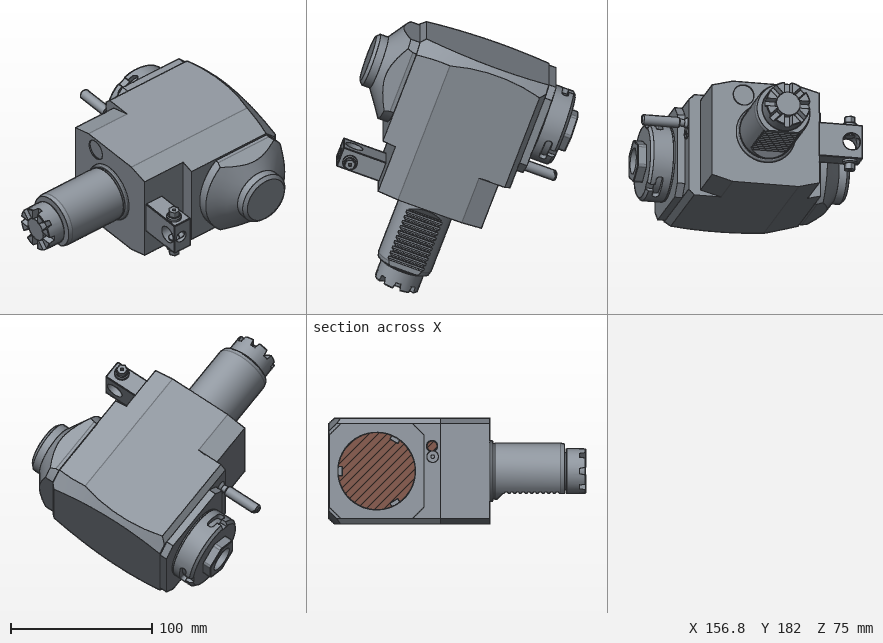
import cadquery as cq
import math


HEIGHT = 75.0
HALF_HEIGHT = HEIGHT / 2
HEAD_LEFT = -47.5
HEAD_RIGHT = 48.5
HEAD_FRONT = 35.0
HEAD_BACK = 114.0
BASE_HALF_WIDTH = 39.0
BEVEL_SLOPE = math.tan(math.radians(15))
EDGE_CHAMFER = 4.0
EDGE_HEIGHT = HALF_HEIGHT - EDGE_CHAMFER
BEVEL_START = BASE_HALF_WIDTH - EDGE_CHAMFER / BEVEL_SLOPE
BACK_CORNER_CHAMFER = 3.5
CROWN_X = -10.0
CROWN_RADIUS = 125.0
PLUG_X = -16.0
PLUG_Z = 27.8
PLUG_RADIUS = 7.5
PLUG_DEPTH = 1.0

SPINDLE_Y = 80.0
PLATE_SIZE = 2 * EDGE_HEIGHT
PLATE_CHAMFER = 8.0
PLATE_LEFT = -53.0
NUT_LEFT = -70.5
NUT_RIGHT = -54.2
NUT_RADIUS = 27.5
NUT_CHAMFER = 2.0
NUT_NECK_RADIUS = 27.0
NUT_SLOT_COUNT = 3
NUT_SLOT_X = -62.5
NUT_SLOT_WIDTH = 5.0
NUT_SLOT_LENGTH = 19.0
NUT_SLOT_FLOOR_RADIUS = 23.8
NUT_NOTCH_FLOOR = 24.4
NUT_NOTCH_WIDTH = 6.3
HEX_LEFT = -77.0
HEX_FLATS = 27.0
HEX_EDGE_RADIUS = 2.3
HEX_FACE_CHAMFER = 0.5
HEX_BORE_RADIUS = 9.2
HEX_BORE_DEPTH = 5.0

PIN_Y = 40.8
PIN_Z = 17.7
PIN_LEFT = -80.33
PIN_RIGHT = -53.0
PIN_RADIUS = 3.65
PIN_CHAMFER = 1.0
PIN_END_CHAMFER = 0.7
PIN_TIP_OFFSET = 0.6
PIN_TIP_TILT = -15.0
PIN_JET_RADIUS = 0.8
PIN_JET_DEPTH = 3.0
PIN_NECK_RADIUS = 2.5
PIN_FLARE_LEFT = -49.6
PIN_FLARE_RADIUS = 4.0
SCREW_Y = 40.4
SCREW_Z = 10.2
SCREW_RADIUS = 4.1
SCREW_HEIGHT = 1.0
SCREW_SOCKET_RADIUS = 1.3

CAP_RADIUS = 37.5
CAP_CONE_LEFT = 55.3
CAP_CONE_RIGHT = 68.3
CAP_HUB_RADIUS = 19.2
CAP_RIGHT = 76.5
CAP_HUB_CHAMFER = 2.4
CAP_BACK = 110.0
CAP_FLAT_HEIGHT = 29.6
CAP_FLAT_RIGHT = 51.3

FLANGE_RADIUS = 21.5
FLANGE_LENGTH = 2.2
FLANGE_FILLET = 0.9
SHANK_NECK_RADIUS = 19.6
SHANK_RADIUS = 20.0
SHANK_START = 3.7
SHANK_TAPER_START = 50.0
SHANK_END = 53.0
SHANK_END_RADIUS = 19.2
COLLAR_NECK_RADIUS = 13.3
COLLAR_START = 54.0
COLLAR_RADIUS = 16.0
COLLAR_CHAMFER = 0.5
COLLAR_END = 68.0
RACK_Z = -15.9
RACK_RAMP_START = 5.2
RACK_GROOVE_COUNT = 10
RACK_PITCH = 4.0
RACK_FIRST_GROOVE = 11.7
RACK_GROOVE_DEPTH = 1.1
RACK_GROOVE_TOP_WIDTH = 1.4
RACK_GROOVE_WIDTH = 3.0
DRIVE_SLOT_COUNT = 8
DRIVE_SLOT_FLOOR = 63.3
DRIVE_SLOT_FLOOR_WIDTH = 3.6
DRIVE_SLOT_MOUTH_WIDTH = 5.6
DRIVE_BOSS_RADIUS = 8.6
DRIVE_BOSS_RECESS = 0.4

ARM_RIGHT = 71.0
ARM_FRONT = 1.4
ARM_BACK = 16.1
ARM_HEIGHT = 25.0
ARM_CHAMFER = 0.5
ARM_HOLE_X = 63.0
ARM_HOLE_RADIUS = 6.4
ARM_END_HOLE_RADIUS = 4.4
ARM_SCREW_Y = 7.4
ARM_WASHER_RADIUS = 5.2
ARM_WASHER_HEIGHT = 2.6
ARM_WASHER_CHAMFER = 0.9
ARM_SCREW_FLATS = 6.7
ARM_SCREW_TOP = 19.5
ARM_SCREW_TIP = 5.3
ARM_SCREW_STEM_RADIUS = 3.8
ARM_SCREW_EDGE_RADIUS = 0.4
ARM_SCREW_SOCKET_RADIUS = 1.1
ARM_SCREW_SOCKET_DEPTH = 3.0


def revolve_about_x(profile, y, z):
    """Solid of revolution about a line along X; profile points are (x, radius)."""
    outline = cq.Workplane("XY").polyline(profile).close()
    return outline.revolve(360, (0, 0, 0), (1, 0, 0)).translate((0, y, z))


def cylinder_along_x(left, right, radius, y, z):
    return cq.Workplane("YZ", origin=(left, y, z)).circle(radius).extrude(right - left)


def mirrored_in_z(upper_points):
    """Close an outline whose lower half mirrors the given upper half."""
    return upper_points + [(x, -z) for x, z in reversed(upper_points)]


def slab_along_y(outline, front, back):
    """Extrude an X-Z outline between two Y positions."""
    return cq.Workplane("XZ", origin=(0, front, 0)).polyline(outline).close().extrude(front - back)


def make_housing():
    bevel_end = HALF_HEIGHT - (HEAD_RIGHT - BEVEL_START) * BEVEL_SLOPE
    head_outline = mirrored_in_z([
        (HEAD_LEFT, EDGE_HEIGHT),
        (HEAD_LEFT + EDGE_CHAMFER, HALF_HEIGHT),
        (BEVEL_START, HALF_HEIGHT),
        (HEAD_RIGHT, bevel_end),
    ])
    base_outline = mirrored_in_z([
        (-BASE_HALF_WIDTH, EDGE_HEIGHT),
        (-BEVEL_START, HALF_HEIGHT),
        (BEVEL_START, HALF_HEIGHT),
        (BASE_HALF_WIDTH, EDGE_HEIGHT),
    ])
    head = slab_along_y(head_outline, HEAD_FRONT, HEAD_BACK)
    head = head.edges("|Z and >X and >Y").chamfer(BACK_CORNER_CHAMFER)
    crown_y = HEAD_BACK - EDGE_CHAMFER - CROWN_RADIUS
    crown_profile = [
        (0, HALF_HEIGHT),
        (CROWN_RADIUS, HALF_HEIGHT),
        (CROWN_RADIUS + HALF_HEIGHT, 0),
        (CROWN_RADIUS, -HALF_HEIGHT),
        (0, -HALF_HEIGHT),
    ]
    crown = cq.Workplane("XZ").polyline(crown_profile).close().revolve(360, (0, 0, 0), (0, 1, 0))
    head = head.intersect(crown.translate((CROWN_X, crown_y, 0)))
    housing = head.union(slab_along_y(base_outline, 0, HEAD_FRONT))
    plug = cq.Workplane("XZ", origin=(PLUG_X, 0, PLUG_Z)).circle(PLUG_RADIUS).extrude(-PLUG_DEPTH)
    return housing.cut(plug)


def make_plate():
    plate = cq.Workplane("YZ", origin=(PLATE_LEFT, SPINDLE_Y, 0)).rect(PLATE_SIZE, PLATE_SIZE)
    plate = plate.extrude(HEAD_LEFT - PLATE_LEFT)
    return plate.edges("|X").chamfer(PLATE_CHAMFER)


def make_nut():
    nut = revolve_about_x([
        (NUT_LEFT, 0),
        (NUT_LEFT, NUT_RADIUS - NUT_CHAMFER),
        (NUT_LEFT + NUT_CHAMFER, NUT_RADIUS),
        (NUT_RIGHT, NUT_RADIUS),
        (NUT_RIGHT, NUT_NECK_RADIUS),
        (PLATE_LEFT, NUT_NECK_RADIUS),
        (PLATE_LEFT, 0),
    ], SPINDLE_Y, 0)
    axis_plane = cq.Workplane("XZ", origin=(NUT_SLOT_X, SPINDLE_Y, 0))
    slot = axis_plane.slot2D(NUT_SLOT_LENGTH, NUT_SLOT_WIDTH, 90).extrude(-NUT_RADIUS)
    slot = slot.cut(cylinder_along_x(NUT_LEFT, NUT_RIGHT, NUT_SLOT_FLOOR_RADIUS, SPINDLE_Y, 0))
    notch_length = NUT_SLOT_X - NUT_LEFT
    notch_plane = cq.Workplane("XZ", origin=(NUT_LEFT + notch_length / 2, SPINDLE_Y + NUT_NOTCH_FLOOR, 0))
    notch = notch_plane.rect(notch_length, NUT_NOTCH_WIDTH).extrude(NUT_NOTCH_FLOOR - NUT_RADIUS)
    cutter = slot.union(notch)
    for index in range(NUT_SLOT_COUNT):
        angle = index * 360 / NUT_SLOT_COUNT
        nut = nut.cut(cutter.rotate((0, SPINDLE_Y, 0), (1, SPINDLE_Y, 0), angle))
    return nut


def make_hex():
    across_corners = HEX_FLATS / math.cos(math.radians(30))
    hexagon = cq.Workplane("YZ", origin=(HEX_LEFT, 0, 0)).polygon(6, across_corners)
    hexagon = hexagon.extrude(NUT_LEFT - HEX_LEFT).rotate((0, 0, 0), (1, 0, 0), 30)
    hexagon = hexagon.edges("|X").fillet(HEX_EDGE_RADIUS)
    hexagon = hexagon.faces("<X").chamfer(HEX_FACE_CHAMFER)
    bore = cylinder_along_x(HEX_LEFT, HEX_LEFT + HEX_BORE_DEPTH, HEX_BORE_RADIUS, 0, 0)
    return hexagon.cut(bore).translate((0, SPINDLE_Y, 0))


def make_pin():
    """Necked pin whose tip carries a 45 degree face with a small jet hole."""
    pin = revolve_about_x([
        (PIN_LEFT, 0),
        (PIN_LEFT, PIN_RADIUS - PIN_CHAMFER),
        (PIN_LEFT + PIN_CHAMFER, PIN_RADIUS),
        (PIN_RIGHT - PIN_END_CHAMFER, PIN_RADIUS),
        (PIN_RIGHT, PIN_RADIUS - PIN_END_CHAMFER),
        (PIN_RIGHT, PIN_NECK_RADIUS),
        (PIN_FLARE_LEFT, PIN_NECK_RADIUS),
        (HEAD_LEFT, PIN_FLARE_RADIUS),
        (HEAD_LEFT, 0),
    ], 0, 0)
    tip_depth = PIN_RADIUS - PIN_TIP_OFFSET
    tip_cut = cq.Workplane("XY").polyline([
        (PIN_LEFT, PIN_TIP_OFFSET),
        (PIN_LEFT + tip_depth, PIN_RADIUS),
        (PIN_LEFT, PIN_RADIUS),
    ]).close().extrude(PIN_RADIUS, both=True)
    face_middle = (PIN_LEFT + tip_depth / 2, PIN_TIP_OFFSET + tip_depth / 2, 0)
    jet_plane = cq.Workplane(cq.Plane(face_middle, xDir=(0, 0, 1), normal=(1, -1, 0)))
    jet = jet_plane.circle(PIN_JET_RADIUS).extrude(PIN_JET_DEPTH)
    pin = pin.cut(tip_cut).cut(jet)
    return pin.rotate((0, 0, 0), (1, 0, 0), PIN_TIP_TILT).translate((0, PIN_Y, PIN_Z))


def make_face_screw():
    left = HEAD_LEFT - SCREW_HEIGHT
    head = cylinder_along_x(left, HEAD_LEFT, SCREW_RADIUS, SCREW_Y, SCREW_Z)
    return head.cut(cylinder_along_x(left, HEAD_LEFT, SCREW_SOCKET_RADIUS, SCREW_Y, SCREW_Z))


def make_cap():
    cap = revolve_about_x([
        (HEAD_RIGHT, 0),
        (HEAD_RIGHT, CAP_RADIUS),
        (CAP_CONE_LEFT, CAP_RADIUS),
        (CAP_CONE_RIGHT, CAP_HUB_RADIUS),
        (CAP_RIGHT - CAP_HUB_CHAMFER, CAP_HUB_RADIUS),
        (CAP_RIGHT, CAP_HUB_RADIUS - CAP_HUB_CHAMFER),
        (CAP_RIGHT, 0),
    ], SPINDLE_Y, 0)
    slope_end = CAP_FLAT_HEIGHT - (CAP_RIGHT - CAP_FLAT_RIGHT) * BEVEL_SLOPE
    limits = mirrored_in_z([
        (HEAD_RIGHT, CAP_FLAT_HEIGHT),
        (CAP_FLAT_RIGHT, CAP_FLAT_HEIGHT),
        (CAP_RIGHT, slope_end),
    ])
    return cap.intersect(slab_along_y(limits, SPINDLE_Y - CAP_RADIUS, CAP_BACK))


def make_shank():
    profile = [
        (0, 0),
        (SHANK_NECK_RADIUS, 0),
        (SHANK_NECK_RADIUS, -SHANK_START),
        (SHANK_RADIUS, -SHANK_START),
        (SHANK_RADIUS, -SHANK_TAPER_START),
        (SHANK_END_RADIUS, -SHANK_END),
        (COLLAR_NECK_RADIUS, -SHANK_END),
        (COLLAR_NECK_RADIUS, -COLLAR_START),
        (COLLAR_RADIUS - COLLAR_CHAMFER, -COLLAR_START),
        (COLLAR_RADIUS, -COLLAR_START - COLLAR_CHAMFER),
        (COLLAR_RADIUS, -COLLAR_END + COLLAR_CHAMFER),
        (COLLAR_RADIUS - COLLAR_CHAMFER, -COLLAR_END),
        (0, -COLLAR_END),
    ]
    shank = cq.Workplane("XY").polyline(profile).close().revolve(360, (0, 0, 0), (0, 1, 0))
    flange = cq.Workplane("XZ").circle(FLANGE_RADIUS).extrude(FLANGE_LENGTH)
    return shank.union(flange.faces("<Y").edges().fillet(FLANGE_FILLET))


def make_rack_cutter():
    """Flat with a 45 degree run-out and trapezoid clamping grooves under the shank."""
    ramp_drop = SHANK_RADIUS + RACK_Z
    outline = [
        (-RACK_RAMP_START, -SHANK_RADIUS),
        (-RACK_RAMP_START - ramp_drop, RACK_Z),
        (-SHANK_END, RACK_Z),
        (-SHANK_END, -FLANGE_RADIUS),
        (-RACK_RAMP_START, -FLANGE_RADIUS),
    ]
    start = cq.Workplane("YZ", origin=(-SHANK_RADIUS, 0, 0))
    cutter = start.polyline(outline).close().extrude(2 * SHANK_RADIUS)
    groove_top = RACK_Z + RACK_GROOVE_DEPTH
    for index in range(RACK_GROOVE_COUNT):
        middle = -RACK_FIRST_GROOVE - index * RACK_PITCH
        groove = start.polyline([
            (middle - RACK_GROOVE_WIDTH / 2, RACK_Z),
            (middle - RACK_GROOVE_TOP_WIDTH / 2, groove_top),
            (middle + RACK_GROOVE_TOP_WIDTH / 2, groove_top),
            (middle + RACK_GROOVE_WIDTH / 2, RACK_Z),
        ]).close().extrude(2 * SHANK_RADIUS)
        cutter = cutter.union(groove)
    return cutter


def cut_drive_teeth(shank):
    """Radial slots with sloping walls leave drive teeth around a central boss."""
    slot = cq.Workplane("XY").polyline([
        (-DRIVE_SLOT_FLOOR_WIDTH / 2, -DRIVE_SLOT_FLOOR),
        (DRIVE_SLOT_FLOOR_WIDTH / 2, -DRIVE_SLOT_FLOOR),
        (DRIVE_SLOT_MOUTH_WIDTH / 2, -COLLAR_END),
        (-DRIVE_SLOT_MOUTH_WIDTH / 2, -COLLAR_END),
    ]).close().extrude(COLLAR_RADIUS)
    end_plane = cq.Workplane("XZ", origin=(0, -DRIVE_SLOT_FLOOR, 0))
    boss = end_plane.circle(DRIVE_BOSS_RADIUS).extrude(COLLAR_END - DRIVE_SLOT_FLOOR)
    slot = slot.cut(boss)
    for index in range(DRIVE_SLOT_COUNT):
        angle = index * 360 / DRIVE_SLOT_COUNT
        shank = shank.cut(slot.rotate((0, 0, 0), (0, 1, 0), angle))
    recess_plane = cq.Workplane("XZ", origin=(0, -COLLAR_END, 0))
    return shank.cut(recess_plane.circle(DRIVE_BOSS_RADIUS).extrude(-DRIVE_BOSS_RECESS))


def make_arm():
    length = ARM_RIGHT - BASE_HALF_WIDTH
    depth = ARM_BACK - ARM_FRONT
    arm = cq.Workplane("XY").box(length, depth, ARM_HEIGHT)
    arm = arm.faces(">X").edges().chamfer(ARM_CHAMFER)
    arm = arm.edges("|X").chamfer(ARM_CHAMFER)
    arm = arm.translate((BASE_HALF_WIDTH + length / 2, ARM_FRONT + depth / 2, 0))
    hole = cq.Workplane("XZ", origin=(ARM_HOLE_X, ARM_FRONT, 0)).circle(ARM_HOLE_RADIUS).extrude(-depth)
    end_hole = cylinder_along_x(ARM_HOLE_X, ARM_RIGHT, ARM_END_HOLE_RADIUS, ARM_SCREW_Y, 0)
    return arm.cut(hole).cut(end_hole)


def make_arm_screw():
    """Screw and washer on the upper face of the arm; the screw tip reaches into the arm hole."""
    seat = cq.Workplane("XY", origin=(0, 0, ARM_HEIGHT / 2))
    washer = seat.circle(ARM_WASHER_RADIUS).extrude(ARM_WASHER_HEIGHT)
    washer = washer.faces(">Z").chamfer(ARM_WASHER_CHAMFER)
    across_corners = ARM_SCREW_FLATS / math.cos(math.radians(30))
    head = seat.polygon(6, across_corners).extrude(ARM_SCREW_TOP - ARM_HEIGHT / 2)
    head = head.rotate((0, 0, 0), (0, 0, 1), 30).edges("|Z").fillet(ARM_SCREW_EDGE_RADIUS)
    top = cq.Workplane("XY", origin=(0, 0, ARM_SCREW_TOP))
    socket = top.circle(ARM_SCREW_SOCKET_RADIUS).extrude(-ARM_SCREW_SOCKET_DEPTH)
    tip = cq.Workplane("XY", origin=(0, 0, ARM_SCREW_TIP))
    stem = tip.circle(ARM_SCREW_STEM_RADIUS).extrude(ARM_HEIGHT / 2 - ARM_SCREW_TIP)
    return washer.union(head).union(stem).cut(socket).translate((ARM_HOLE_X, ARM_SCREW_Y, 0))


shank = cut_drive_teeth(make_shank().cut(make_rack_cutter()))
upper_screw = make_arm_screw()
lower_screw = upper_screw.mirror("XY")

result = make_housing()
for piece in (
    make_plate(),
    make_nut(),
    make_hex(),
    make_pin(),
    make_face_screw(),
    make_cap(),
    shank,
    make_arm(),
    upper_screw,
    lower_screw,
):
    result = result.union(piece)